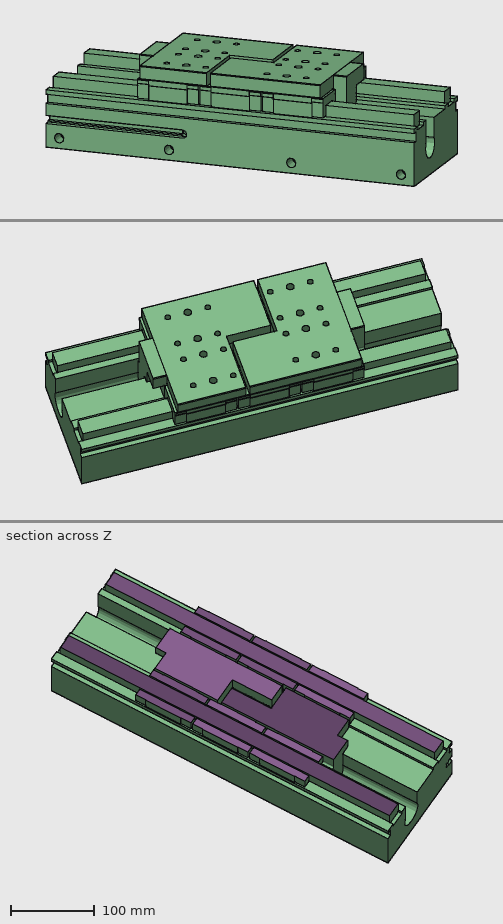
import cadquery as cq

base_length = 470.0
base_width = 148.0
base_top = 71.5
base_centre_top = 67.5
base_centre_width = 61.0
side_slot_top = 66.0
side_slot_bottom = 54.5
side_slot_depth = 6.0

leg_y = 20.0
leg_slot_width = 27.0
leg_bore_radius = 15.0
leg_centre_z = 36.0

groove_z = 34.5
groove_width = 10.0
groove_depth = 7.5
groove_floor_width = 6.65
groove_floor_depth = 12.7
groove_end_x = -60.5
groove_end_depth = 15.0
mount_hole_diameter = 11.45
mount_hole_depth = 20.0
mount_hole_tip = 3.4
mount_hole_z = 13.0
mount_hole_xs = (-218.0, -78.0, 78.0, 218.0)

rail_length = 460.0
rail_width = 20.0
rail_top = 85.5
rail_y = 52.0

top_z = 114.0
plate_bottom = 97.0
plate_end_x = 115.0
gap_near_x = 25.0
gap_far_x = 30.0
gap_half_y = 5.0
edge_chamfer = 1.0

hole_xs = (-89.0, -39.0)
centre_hole_x = -64.0
hole_ys = (-52.0, -12.0, 12.0, 52.0)
hole_diameter = 6.8
centre_hole_diameter = 9.0

carriage_length = 77.5
carriage_pitch = 79.5
steel_length = 49.0
steel_upper_width = 44.0
steel_lower_width = 42.5
steel_step_z = 90.0
steel_bottom = 72.0
cap_upper_width = 43.0
cap_lower_width = 41.5
cap_step_z = 91.5
cap_bottom = 73.0
rail_opening_width = 22.0
rail_opening_top = 86.0

coil_end_x = 132.0
coil_half_width = 29.0
coil_bottom = 68.0
leg_width = 24.0
leg_bottom = 23.5
leg_corner_radius = 10.0
leg_end_x = 20.0
head_back_x = 118.0
recess_roof_z = 94.0
recess_wall_y = -3.5
recess_fillet = 3.0
recess_sill_z = coil_bottom + recess_fillet


def block(x_range, y_range, z_range):
    """Axis-aligned box between the given limits."""
    size = [high - low for low, high in (x_range, y_range, z_range)]
    corner = (x_range[0], y_range[0], z_range[0])
    return cq.Workplane("XY").box(*size, centered=False).translate(corner)


def bar(length, width, z_range, y=0.0):
    """Box centred on X = 0 and on the given Y."""
    return block((-length / 2, length / 2), (y - width / 2, y + width / 2), z_range)


def turned(body):
    """The body turned half a turn about the Z axis."""
    return body.rotate((0, 0, 0), (0, 0, 1), 180)


def leg_slot():
    """Keyhole-shaped slot on the +Y side, open at the -X end and ending just past the coil leg."""
    start_x = -base_length / 2
    walls = block(
        (start_x, gap_near_x),
        (leg_y - leg_slot_width / 2, leg_y + leg_slot_width / 2),
        (leg_centre_z, base_top),
    )
    bore = (
        cq.Workplane("YZ", origin=(start_x, leg_y, leg_centre_z))
        .circle(leg_bore_radius)
        .extrude(gap_near_x - start_x)
    )
    return walls.union(bore)


def cable_groove():
    """Stepped groove from the -X end, finishing in a round hole."""
    side_y = -base_width / 2
    groove = cq.Workplane("XY")
    for width, depth in ((groove_width, groove_depth), (groove_floor_width, groove_floor_depth)):
        groove = groove.union(
            block(
                (-base_length / 2, groove_end_x),
                (side_y, side_y + depth),
                (groove_z - width / 2, groove_z + width / 2),
            )
        )
    end_hole = (
        cq.Workplane("XZ", origin=(groove_end_x, side_y, groove_z))
        .circle(groove_width / 2)
        .extrude(-groove_end_depth)
    )
    return groove.union(end_hole)


def mount_hole(x):
    """Blind hole with a conical drill tip, entering from the -Y side."""
    radius = mount_hole_diameter / 2
    side_y = -base_width / 2
    return (
        cq.Workplane("XY", origin=(x, side_y, mount_hole_z))
        .polyline([
            (0, 0),
            (radius, 0),
            (radius, mount_hole_depth),
            (0, mount_hole_depth + mount_hole_tip),
        ])
        .close()
        .revolve(360, (0, 0, 0), (0, 1, 0))
    )


def make_base():
    base = bar(base_length, base_width, (0, base_top))
    base = base.cut(bar(base_length, base_centre_width, (base_centre_top, base_top)))
    for side in (-1, 1):
        base = base.cut(bar(base_length, rail_width, (base_centre_top, base_top), side * rail_y))
        slot_y = side * (base_width - side_slot_depth) / 2
        base = base.cut(bar(base_length, side_slot_depth, (side_slot_bottom, side_slot_top), slot_y))
    base = base.cut(leg_slot()).cut(turned(leg_slot())).cut(cable_groove())
    for x in mount_hole_xs:
        base = base.cut(mount_hole(x))
    return base


def make_rail(side):
    return bar(rail_length, rail_width, (base_centre_top, rail_top), side * rail_y)


def footprint(z_range):
    """Stepped outline of the -X slider, with a tongue reaching past the middle on the +Y side."""
    half_width = base_width / 2
    return (
        cq.Workplane("XY", origin=(0, 0, z_range[0]))
        .polyline([
            (-coil_end_x, -half_width),
            (-gap_far_x, -half_width),
            (-gap_far_x, gap_half_y),
            (gap_near_x, gap_half_y),
            (gap_near_x, half_width),
            (-coil_end_x, half_width),
        ])
        .close()
        .extrude(z_range[1] - z_range[0])
    )


def carriage(x, y):
    """Steel block between two end caps, all straddling the rail."""
    caps = bar(carriage_length, cap_upper_width, (cap_step_z, plate_bottom))
    caps = caps.edges("|X and >Z").chamfer(edge_chamfer)
    caps = caps.union(bar(carriage_length, cap_lower_width, (cap_bottom, cap_step_z)))
    steel = bar(steel_length, steel_upper_width, (steel_step_z, plate_bottom))
    steel = steel.union(bar(steel_length, steel_lower_width, (steel_bottom, steel_step_z)))
    opening = bar(carriage_length, rail_opening_width, (steel_bottom, rail_opening_top))
    return caps.union(steel).cut(opening).translate((x, y, 0))


def make_table():
    """Plate of the -X slider with one carriage on the -Y rail and two on the +Y rail."""
    blank = bar(2 * plate_end_x, base_width, (plate_bottom, top_z))
    blank = blank.edges("|X").chamfer(edge_chamfer)
    table = blank.intersect(footprint((plate_bottom, top_z)))
    for diameter, xs in ((hole_diameter, hole_xs), (centre_hole_diameter, (centre_hole_x,))):
        centres = [(x, y) for x in xs for y in hole_ys]
        holes = (
            cq.Workplane("XY", origin=(0, 0, plate_bottom))
            .pushPoints(centres)
            .circle(diameter / 2)
            .extrude(top_z - plate_bottom)
        )
        table = table.cut(holes)
    for x, side in ((-carriage_pitch, -1), (-carriage_pitch, 1), (0, 1)):
        table = table.union(carriage(x, side * rail_y))
    return table


def head_recess():
    """Recess in the -X end of the coil, open towards -Y and towards the leg below its sill."""
    leg_inner_y = leg_y - leg_width / 2
    return (
        cq.Workplane("YZ", origin=(-coil_end_x, 0, 0))
        .moveTo(-coil_half_width, coil_bottom)
        .lineTo(-coil_half_width, recess_roof_z)
        .lineTo(recess_wall_y - recess_fillet, recess_roof_z)
        .radiusArc((recess_wall_y, recess_roof_z - recess_fillet), recess_fillet)
        .lineTo(recess_wall_y, recess_sill_z + recess_fillet)
        .radiusArc((recess_wall_y + recess_fillet, recess_sill_z), -recess_fillet)
        .lineTo(leg_inner_y - recess_fillet, recess_sill_z)
        .radiusArc((leg_inner_y, coil_bottom), recess_fillet)
        .close()
        .extrude(coil_end_x - head_back_x)
    )


def coil_leg():
    """Leg with rounded bottom corners and a hollow shoulder where it is wider than the coil."""
    leg_inner_y = leg_y - leg_width / 2
    leg_outer_y = leg_y + leg_width / 2
    shoulder_radius = leg_outer_y - coil_half_width
    leg = (
        cq.Workplane("YZ", origin=(-coil_end_x, 0, 0))
        .moveTo(leg_inner_y, coil_bottom)
        .lineTo(coil_half_width, coil_bottom)
        .lineTo(coil_half_width, coil_bottom + shoulder_radius)
        .radiusArc((leg_outer_y, coil_bottom), -shoulder_radius)
        .lineTo(leg_outer_y, leg_bottom)
        .lineTo(leg_inner_y, leg_bottom)
        .close()
        .extrude(coil_end_x + leg_end_x)
    )
    return leg.edges("|X and <Z").fillet(leg_corner_radius)


def make_coil():
    """Coil of the -X slider: its leg hangs in the slot and its head butts against the plate end."""
    coil = bar(2 * coil_end_x, 2 * coil_half_width, (coil_bottom, top_z))
    coil = coil.edges("|X and >Z").chamfer(edge_chamfer)
    coil = coil.intersect(footprint((coil_bottom, top_z)))
    coil = coil.cut(bar(2 * plate_end_x, base_width, (plate_bottom, top_z)))
    coil = coil.cut(head_recess())
    return coil.union(coil_leg())


base = make_base()
rails = [make_rail(side) for side in (-1, 1)]
table = make_table()
coil = make_coil()
tables = [table, turned(table)]
coils = [coil, turned(coil)]

result = cq.Compound.makeCompound([body.val() for body in [base, *rails, *tables, *coils]])